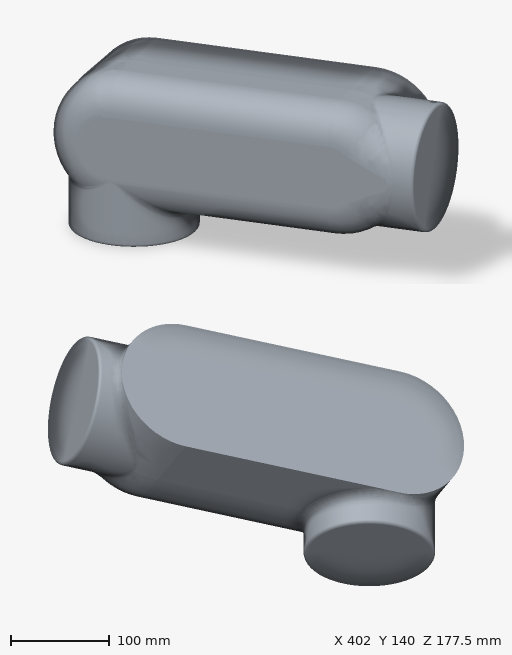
import cadquery as cq
import math

overall_length = 402.0
overall_height = 177.5
body_depth = 140.0

body_radius = 72.0
straight_length = 237.0
draft_angle = 1.0
front_round = 38.0

hub_diameter = 133.5
hub_setback = 0.15
rim_round = 3.2
blend_radius = 8.0
lower_hub_x = 74.5

tip_angle = 2.0
blend_sections = 8
wall_passes = 6
tangent_step = 0.001

hub_radius = hub_diameter / 2
hub_y = hub_radius + hub_setback
split_y = hub_radius
draft = math.radians(draft_angle)
left_center_x = body_radius
right_center_x = left_center_x + straight_length
lower_hub_z = body_radius - overall_height


def body_half(depth):
    """Slot from the split plane to the front (positive depth) or to the back (negative depth)."""
    return (
        cq.Workplane("XZ", origin=(left_center_x + straight_length / 2, split_y, 0))
        .slot2D(straight_length + 2 * body_radius, 2 * body_radius)
        .extrude(depth, taper=draft_angle)
    )


def make_body():
    front = body_half(split_y)
    back = body_half(split_y - body_depth)
    return front.union(back).faces("<Y").edges().fillet(front_round)


def make_hub(plane, start, length, rim):
    """Round hub from inside the body out to a rounded rim on the face picked by `rim`."""
    hub = cq.Workplane(plane, origin=start).circle(hub_radius).extrude(length)
    return hub.faces(rim).edges().fillet(rim_round)


def join_hub(solid, hub, rim):
    """Fuse a hub to the solid and fillet the seam around its cylinder."""
    joined = solid.union(hub)
    seam = joined.faces("%CYLINDER").faces(rim).edges(f"not (%LINE or {rim})")
    return seam.fillet(blend_radius)


def wall_radius_at(y):
    """Radius of the drafted end wall, at a distance y behind the front face."""
    return body_radius - (split_y - y) * math.tan(draft)


def hub_corner(angle):
    """Point where the body end wall meets the right hub, at an angle about the end centre."""
    y = 0
    for _ in range(wall_passes):
        z = wall_radius_at(y) * math.sin(angle)
        y = hub_y - math.sqrt(hub_radius**2 - z**2)
    x = right_center_x + wall_radius_at(y) * math.cos(angle)
    return cq.Vector(x, y, z)


def corner_section(angle):
    """Cross-section of the corner blend: a ball rests on the corner curve and the front plane."""
    corner = hub_corner(angle)
    tangent = hub_corner(angle + tangent_step) - hub_corner(angle - tangent_step)
    run = math.hypot(tangent.x, tangent.z)
    along = cq.Vector(tangent.x / run, 0, tangent.z / run)
    inward = cq.Vector(-along.z, 0, along.x)

    rise = front_round - corner.y
    reach = math.sqrt(front_round**2 - rise**2)
    slide = -rise * tangent.y / run
    offset = math.sqrt(reach**2 - slide**2)
    ball = corner + along * slide + inward * offset + cq.Vector(0, rise, 0)

    contact = cq.Vector(ball.x, 0, ball.z)
    to_middle = (corner + contact) * 0.5 - ball
    middle = ball + to_middle.normalized() * front_round
    outline = cq.Vector(contact.x - corner.x, 0, contact.z - corner.z)
    axis_inner = corner + outline * (-corner.z / outline.z)
    axis_front = cq.Vector(axis_inner.x, 0, 0)
    return cq.Wire.assembleEdges([
        cq.Edge.makeThreePointArc(corner, middle, contact),
        cq.Edge.makeLine(contact, axis_front),
        cq.Edge.makeLine(axis_front, axis_inner),
        cq.Edge.makeLine(axis_inner, corner),
    ])


def make_corner_blend():
    """Upper corner blend, from the tip on the hub axis up to where the hub leaves the rounding."""
    first = math.radians(tip_angle)
    rounding_depth = front_round * (1 - math.sin(draft))
    wall_radius = wall_radius_at(rounding_depth)
    last = math.asin(math.sqrt(hub_radius**2 - (hub_y - rounding_depth) ** 2) / wall_radius)
    spacing = (last - first) / (blend_sections - 1)
    sections = [corner_section(first + i * spacing) for i in range(blend_sections)]
    return cq.Workplane(cq.Solid.makeLoft(sections))


end_hub = make_hub("YZ", (right_center_x, hub_y, 0), overall_length - right_center_x, ">X")
lower_hub = make_hub("XY", (lower_hub_x, hub_y, lower_hub_z), -lower_hub_z, "<Z")
upper_blend = make_corner_blend()
lower_blend = upper_blend.mirror("XY")

result = make_body()
result = join_hub(result, lower_hub, "<Z")
result = join_hub(result, end_hub, ">X")
result = result.union(upper_blend).union(lower_blend).solids()